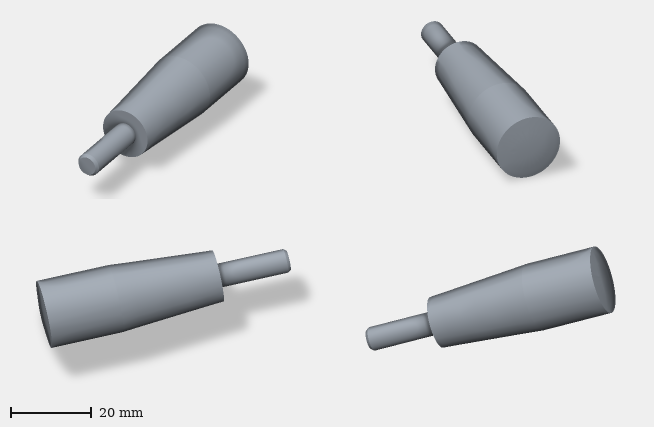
import cadquery as cq

total_length = 62.9
stem_length = 18.0
taper_length = 26.05
dome_height = 0.7

grip_radius = 8.5
neck_radius = 6.5
stem_radius = 2.99

chamfer_length = 0.75
chamfer_depth = 0.55

stem_tip = -stem_length
grip_end = total_length - stem_length
dome_start = grip_end - dome_height

dome_radius = (grip_radius**2 + dome_height**2) / (2 * dome_height)
dome_center = grip_end - dome_radius
dome_mid_x = grip_radius / 2
dome_mid_y = dome_center + (dome_radius**2 - dome_mid_x**2) ** 0.5

profile = (
    cq.Workplane("XY")
    .moveTo(0, stem_tip)
    .lineTo(stem_radius - chamfer_depth, stem_tip)
    .lineTo(stem_radius, stem_tip + chamfer_length)
    .lineTo(stem_radius, 0)
    .lineTo(neck_radius, 0)
    .lineTo(grip_radius, taper_length)
    .lineTo(grip_radius, dome_start)
    .threePointArc((dome_mid_x, dome_mid_y), (0, grip_end))
    .close()
)

result = profile.revolve(360, (0, 0, 0), (0, 1, 0))